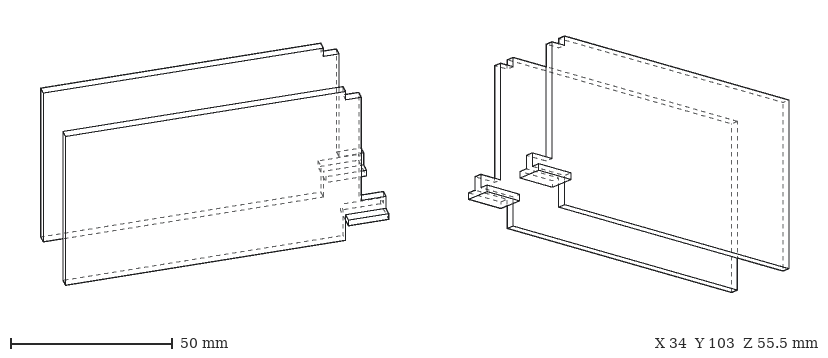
import cadquery as cq

total_length = 103.0
plate_height = 55.5
plate_thickness = 2.9
plate_pitch = 24.9
plate_count = 2

tongue_reach = 13.0
shoulder_reach = 5.0
shoulder_top = 52.4
tongue_bottom = 7.4
tongue_top = 14.0

flange_width = 9.1
flange_thickness = 2.2

panel_length = total_length - tongue_reach
shoulder_end = panel_length + shoulder_reach


def make_plate_blank():
    """Upright plate with a stepped rear end, centred on X = 0."""
    outline = [
        (0, 0),
        (panel_length, 0),
        (panel_length, tongue_bottom),
        (total_length, tongue_bottom),
        (total_length, tongue_top),
        (shoulder_end, tongue_top),
        (shoulder_end, shoulder_top),
        (panel_length, shoulder_top),
        (panel_length, plate_height),
        (0, plate_height),
    ]
    return cq.Workplane("YZ").polyline(outline).close().extrude(plate_thickness / 2, both=True)


def make_flange():
    """Flat bar crossing the plate on both sides, flush with the tongue's lower face and tip."""
    flange = cq.Workplane("XY").box(
        flange_width, tongue_reach, flange_thickness, centered=(True, False, False)
    )
    return flange.translate((0, panel_length, tongue_bottom))


def make_plate(x_centre):
    """One plate with its flange, as a single solid."""
    plate = make_plate_blank().union(make_flange())
    return plate.translate((x_centre, 0, 0))


plates = []
for index in range(plate_count):
    x_centre = (index - (plate_count - 1) / 2) * plate_pitch
    plates.append(make_plate(x_centre).val())

result = cq.Compound.makeCompound(plates)